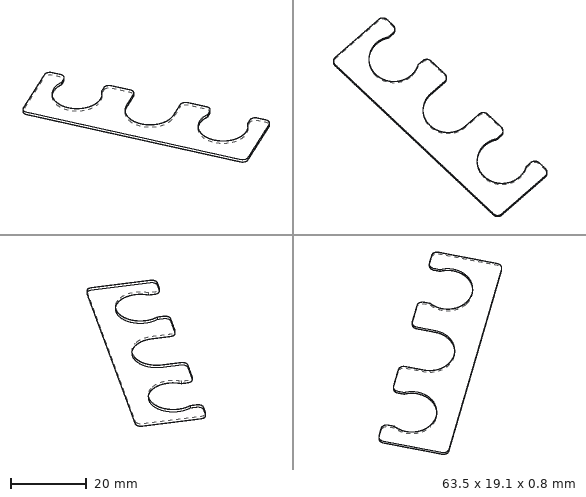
import cadquery as cq

length = 63.5
width = 19.05
thickness = 0.8
corner_radius = 1.5

cradle_radius = 6.6
cradle_pitch = 20.65
cradle_depth = 13.3
snap_mouth_width = 11.3

back_y = width / 2
cradle_y = back_y - cradle_depth + cradle_radius


def cradle_cutter(center_x, mouth_width):
    """Round seat joined to the back edge by a straight mouth."""
    seat = (
        cq.Workplane("XY")
        .center(center_x, cradle_y)
        .circle(cradle_radius)
        .extrude(thickness)
    )
    mouth_length = back_y - cradle_y
    mouth = (
        cq.Workplane("XY")
        .center(center_x, cradle_y + mouth_length / 2)
        .rect(mouth_width, mouth_length)
        .extrude(thickness)
    )
    return seat.union(mouth)


plate = cq.Workplane("XY").box(length, width, thickness, centered=(True, True, False))

plate = plate.cut(cradle_cutter(0, 2 * cradle_radius))
for side in (-1, 1):
    plate = plate.cut(cradle_cutter(side * cradle_pitch, snap_mouth_width))

front_corners = plate.faces("<Y").edges("|Z")
back_corners = plate.faces(">Y").edges("|Z")
result = plate.newObject(front_corners.vals() + back_corners.vals()).fillet(corner_radius)